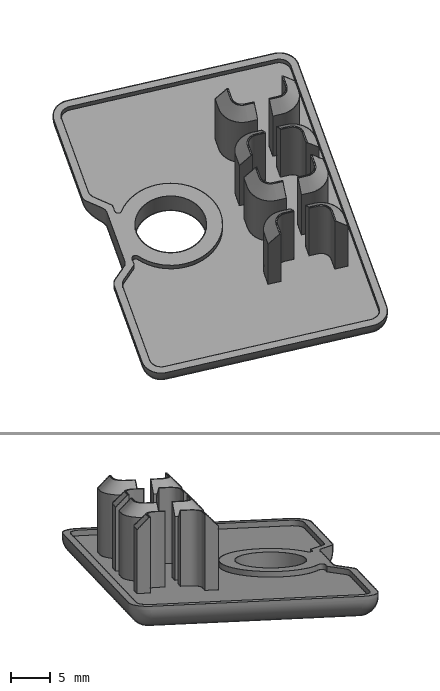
import cadquery as cq
import math

plate_length = 45.0
plate_width = 32.0
plate_thickness = 2.95
overall_height = 12.0
edge_radius = 2.48

notch_depth = 2.35
notch_half_width = 4.5
notch_flank_angle = 45.0
notch_root_radius = 1.3
notch_mouth_radius = 1.25

rim_width = 1.0
recess_depth = 0.7
recess_corner_radius = 1.55
recess_mouth_radius = 1.5
recess_tip_radius = 0.45

hole_diameter = 9.0
ring_diameter = 13.05
hole_y = -6.5

tube_half_length = 5.62
tube_half_width = 5.2
tube_corner_radius = 3.0
tube_wall = 1.7
tube_half_gap = 1.0
tube_pitch = 13.0
tube_y = 8.0
post_chamfer = 1.55

recess_floor = plate_thickness - recess_depth
front_y = -plate_width / 2
notch_root_y = front_y + notch_depth
notch_flank_run = notch_depth / math.tan(math.radians(notch_flank_angle))
overshoot = 0.45
pick_reach = 0.05


def corner_edges(body, x, y):
    """Select the two vertical edges at (x, y) and (-x, y)."""
    columns = [
        cq.selectors.BoxSelector(
            (edge_x - pick_reach, y - pick_reach, -overall_height),
            (edge_x + pick_reach, y + pick_reach, overall_height),
        )
        for edge_x in (x, -x)
    ]
    return body.edges("|Z").edges(columns[0] + columns[1])


def make_plate():
    plate = cq.Workplane("XY").rect(plate_length, plate_width).extrude(plate_thickness)
    plate = plate.edges("|Z").fillet(edge_radius)
    return plate.faces("<Z").edges().fillet(edge_radius)


def make_notch():
    mouth_half_width = notch_half_width + notch_flank_run
    block_half_length = plate_length / 2
    block = (
        cq.Workplane("XY")
        .moveTo(-block_half_length, front_y)
        .lineTo(-mouth_half_width, front_y)
        .lineTo(-notch_half_width, notch_root_y)
        .lineTo(notch_half_width, notch_root_y)
        .lineTo(mouth_half_width, front_y)
        .lineTo(block_half_length, front_y)
        .lineTo(block_half_length, -front_y)
        .lineTo(-block_half_length, -front_y)
        .close()
        .extrude(plate_thickness)
    )
    block = corner_edges(block, notch_half_width, notch_root_y).fillet(notch_root_radius)
    return corner_edges(block, mouth_half_width, front_y).fillet(notch_mouth_radius)


def make_recess():
    half_length = plate_length / 2 - rim_width
    half_width = plate_width / 2 - rim_width
    root_y = notch_root_y + rim_width
    root_half_width = notch_half_width + rim_width * math.tan(math.radians(notch_flank_angle / 2))
    mouth_half_width = root_half_width + notch_flank_run
    recess = (
        cq.Workplane("XY", origin=(0, 0, recess_floor))
        .moveTo(-half_length, -half_width)
        .lineTo(-mouth_half_width, -half_width)
        .lineTo(-root_half_width, root_y)
        .lineTo(root_half_width, root_y)
        .lineTo(mouth_half_width, -half_width)
        .lineTo(half_length, -half_width)
        .lineTo(half_length, half_width)
        .lineTo(-half_length, half_width)
        .close()
        .extrude(recess_depth + overshoot)
    )
    recess = corner_edges(recess, half_length, -half_width).fillet(recess_corner_radius)
    recess = corner_edges(recess, half_length, half_width).fillet(recess_corner_radius)
    recess = corner_edges(recess, mouth_half_width, -half_width).fillet(recess_mouth_radius)

    ring = (
        cq.Workplane("XY", origin=(0, hole_y, recess_floor))
        .circle(ring_diameter / 2)
        .extrude(recess_depth + overshoot)
    )
    recess = recess.cut(ring)
    tip_x = math.sqrt((ring_diameter / 2) ** 2 - (root_y - hole_y) ** 2)
    return corner_edges(recess, tip_x, root_y).fillet(recess_tip_radius)


def make_tube():
    """Rounded tube with a chamfered top, cut into four posts by a cross-shaped gap."""
    length = 2 * tube_half_length
    width = 2 * tube_half_width
    height = overall_height - recess_floor
    base = cq.Workplane("XY", origin=(0, 0, recess_floor))
    tube = base.rect(length, width).extrude(height)
    tube = tube.edges("|Z").fillet(tube_corner_radius)
    tube = tube.faces(">Z").edges().chamfer(post_chamfer)
    bore = base.rect(length - 2 * tube_wall, width - 2 * tube_wall).extrude(height)
    bore = bore.edges("|Z").fillet(tube_corner_radius - tube_wall)
    gap_along_x = base.rect(length, 2 * tube_half_gap).extrude(height)
    gap_along_y = base.rect(2 * tube_half_gap, width).extrude(height)
    return tube.cut(bore).cut(gap_along_x).cut(gap_along_y)


def make_posts():
    """A full centre tube, with only the facing half of the tube on either side."""
    tube = make_tube()
    span = cq.Workplane("XY").rect(2 * tube_pitch, plate_width).extrude(overall_height)
    posts = tube
    for side in (-1, 1):
        posts = posts.union(tube.translate((side * tube_pitch, 0, 0)).intersect(span))
    return posts.translate((0, tube_y, 0))


hole = cq.Workplane("XY").center(0, hole_y).circle(hole_diameter / 2).extrude(plate_thickness)
plate = make_plate().intersect(make_notch()).cut(make_recess()).cut(hole)
result = plate.union(make_posts())